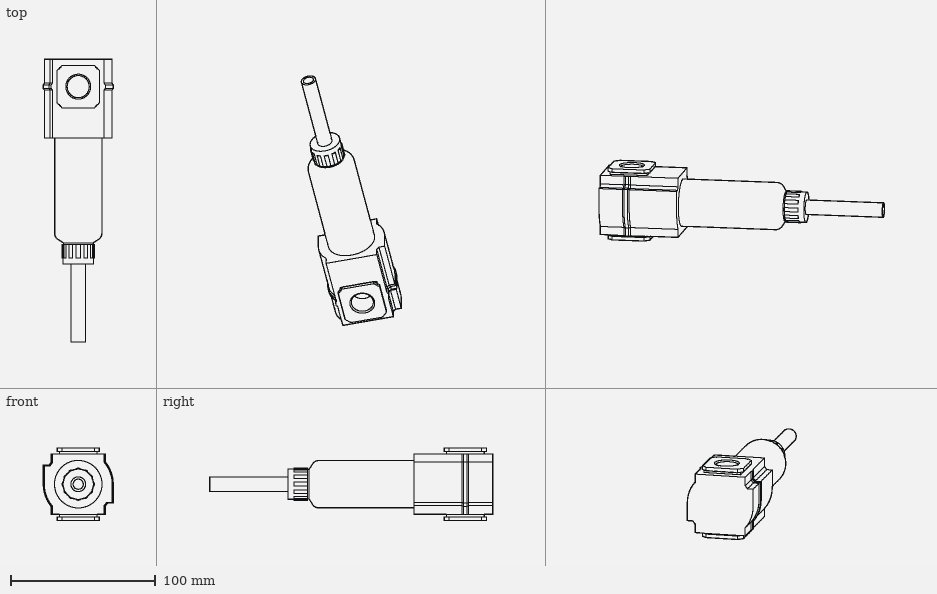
import cadquery as cq
import math


head_length = 54.5
block_width = 35.7
block_half_width = block_width / 2
block_half_height = 20.9
wing_radius = 23.5
wing_shelf_z = 12.7
wing_bevel_width = 1.5
wing_bevel_rise = 2.1

rib_height = 0.8
rib_base_width = 4.7
rib_top_width = 2.3
shelf_growth_share = 0.5
port_y = -19.0

port_span = 50.2
port_plate_top = port_span / 2
port_plate_thickness = 2.5
port_plate_size = 29.3
port_plate_corner = 3.5
port_neck_size = 26.2
port_radius = 7.6
port_chamfer = 1.0
port_depth = 15.6

bowl_radius = 16.5
bowl_cylinder_end = 120.1
shoulder_radius = 5.0
shoulder_angle = math.radians(57)
neck_radius = 10.4
neck_end = 127.7

grip_length = 9.5
collar_radius = 10.5
collar_end = 141.4
grip_rib_count = 12
grip_rib_radius = 1.8
grip_reach = 11.1
tube_end = 195.3
tube_radius = 5.0
tube_bore_radius = 3.5


def xz_plane(y):
    """Sketch plane with +X right and +Z up; extrusion runs towards -Y."""
    return cq.Workplane("XZ", origin=(0, y, 0))


def head_outline(y, growth):
    """Block with two wings in half-turn symmetry; growth moves the side walls outwards."""
    wall = block_half_width + growth
    outer = wing_radius + growth
    arc_root_z = math.sqrt(outer ** 2 - wall ** 2)
    arc_mid_angle = math.atan2(arc_root_z, wall) / 2
    arc_mid = (outer * math.cos(arc_mid_angle), outer * math.sin(arc_mid_angle))
    shelf_z = wing_shelf_z + growth * shelf_growth_share
    bevel_x = wall + wing_bevel_width
    bevel_z = shelf_z + wing_bevel_rise
    return (
        xz_plane(y)
        .moveTo(wall, block_half_height)
        .lineTo(wall, arc_root_z)
        .threePointArc(arc_mid, (outer, 0))
        .lineTo(outer, -shelf_z)
        .lineTo(bevel_x, -shelf_z)
        .lineTo(wall, -bevel_z)
        .lineTo(wall, -block_half_height)
        .lineTo(-wall, -block_half_height)
        .lineTo(-wall, -arc_root_z)
        .threePointArc((-arc_mid[0], -arc_mid[1]), (-outer, 0))
        .lineTo(-outer, shelf_z)
        .lineTo(-bevel_x, shelf_z)
        .lineTo(-wall, bevel_z)
        .lineTo(-wall, block_half_height)
        .close()
    )


def outline_wire(y, growth):
    return head_outline(y, growth).wire().val()


def make_side_rib():
    """Band of trapezoidal section standing out of both side walls at the ports."""
    base_half = rib_base_width / 2
    top_half = rib_top_width / 2
    rib = head_outline(port_y + top_half, rib_height).extrude(rib_top_width)
    for side in (1, -1):
        flank = cq.Solid.makeLoft(
            [
                outline_wire(port_y + side * base_half, 0),
                outline_wire(port_y + side * top_half, rib_height),
            ],
            True,
        )
        rib = rib.union(cq.Workplane(flank))
    return rib


def square_slab(z, size, height):
    return cq.Workplane("XY", origin=(0, port_y, z)).rect(size, size).extrude(height)


def make_port_boss():
    """Upper port flange: a plate with cut corners on a slightly smaller square neck."""
    plate_bottom = port_plate_top - port_plate_thickness
    neck = square_slab(block_half_height, port_neck_size, plate_bottom - block_half_height)
    plate = square_slab(plate_bottom, port_plate_size, port_plate_thickness)
    return neck.union(plate.edges("|Z").chamfer(port_plate_corner))


def make_port_hole():
    """Blind port with a chamfered mouth, opening at the top of the flange."""
    mouth = port_radius + port_chamfer
    floor_z = port_plate_top - port_depth
    profile = (
        cq.Workplane("XZ", origin=(0, port_y, 0))
        .moveTo(0, floor_z)
        .lineTo(port_radius, floor_z)
        .lineTo(port_radius, port_plate_top - port_chamfer)
        .lineTo(mouth, port_plate_top)
        .lineTo(0, port_plate_top)
        .close()
    )
    return profile.revolve(360, (0, 0, 0), (0, 1, 0))


def make_head():
    head = head_outline(0, 0).extrude(head_length).union(make_side_rib())
    boss = make_port_boss()
    hole = make_port_hole()
    head = head.union(boss).union(boss.mirror("XY"))
    return head.cut(hole).cut(hole.mirror("XY"))


def make_bowl():
    """Solid of revolution: cylinder, rounded shoulder, cone and short neck."""
    arc_center_r = bowl_radius - shoulder_radius

    def shoulder_point(angle):
        r = arc_center_r + shoulder_radius * math.cos(angle)
        return r, -bowl_cylinder_end - shoulder_radius * math.sin(angle)

    cone_start_r, cone_start_y = shoulder_point(shoulder_angle)
    cone_end_y = cone_start_y - (cone_start_r - neck_radius) / math.tan(shoulder_angle)
    return (
        cq.Workplane("XY")
        .moveTo(0, -head_length)
        .lineTo(bowl_radius, -head_length)
        .lineTo(bowl_radius, -bowl_cylinder_end)
        .threePointArc(shoulder_point(shoulder_angle / 2), (cone_start_r, cone_start_y))
        .lineTo(neck_radius, cone_end_y)
        .lineTo(neck_radius, -neck_end)
        .lineTo(0, -neck_end)
        .close()
        .revolve(360, (0, 0, 0), (0, 1, 0))
    )


def make_drain():
    """Collar with round grip ribs and outlet tube, bored through along the axis."""
    collar = xz_plane(-neck_end).circle(collar_radius).extrude(collar_end - neck_end)
    ribs = (
        xz_plane(-neck_end)
        .polarArray(grip_reach - grip_rib_radius, 0, 360, grip_rib_count)
        .circle(grip_rib_radius)
        .extrude(grip_length)
    )
    tube = xz_plane(-collar_end).circle(tube_radius).extrude(tube_end - collar_end)
    bore = xz_plane(-neck_end).circle(tube_bore_radius).extrude(tube_end - neck_end)
    return collar.union(ribs).union(tube).cut(bore)


head = make_head()
bowl = make_bowl()
drain = make_drain()

result = cq.Compound.makeCompound([head.val(), bowl.val(), drain.val()])